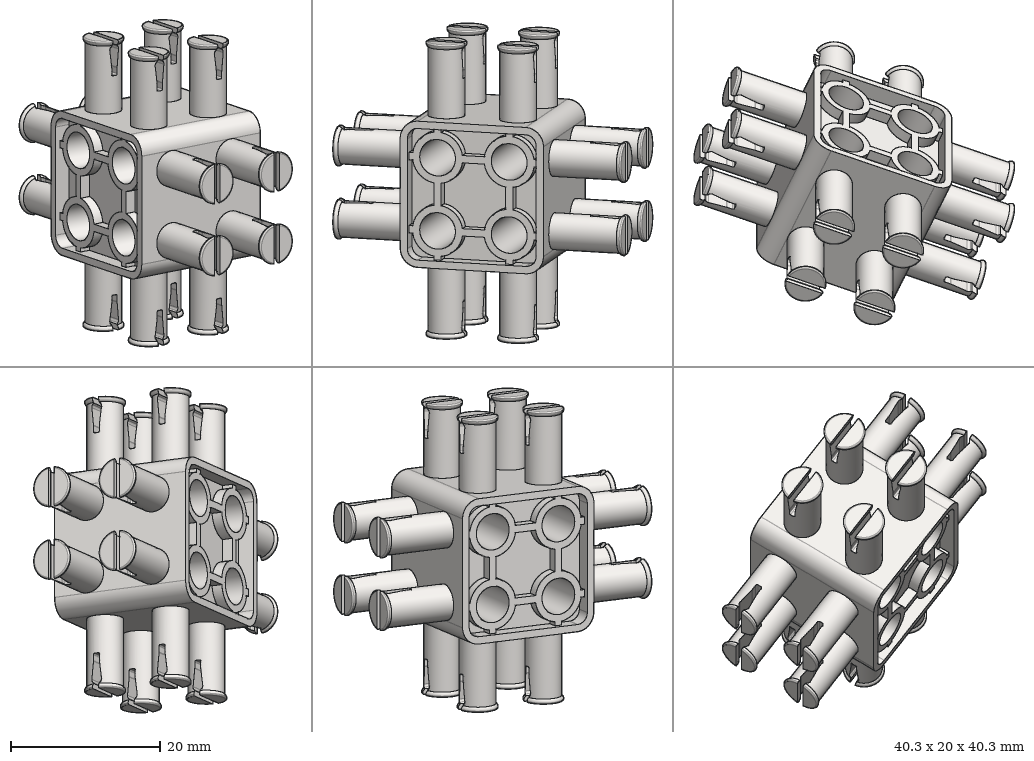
import cadquery as cq
import math

SPAN = 40.25
CUBE = 20.0
WALL = 1.0
CORNER_RADIUS = 2.5
HALF_SPAN = SPAN / 2
HALF_CUBE = CUBE / 2
OFFSET = CUBE / 4

BORE_DIAMETER = 5.0
BOSS_DIAMETER = 7.0
BOSS_RECESS = 0.75
FLOOR_DEPTH = 2.25

PIN_RADIUS = 4.95 / 2
PIN_ROOT = HALF_CUBE - WALL
COLLAR_RADIUS = 5.5 / 2
TIP_ROUND = 0.2
COLLAR_BACK_RADIUS = 0.55

SLOT_LENGTH = 4.9
SLOT_MOUTH = 0.9
SLOT_BELLY = 1.53
MOUTH_LENGTH = 0.75
BELLY_DEPTH = 1.13
TAPER_DEPTH = 3.85
SLOT_BEND_RADIUS = 1.0 / 2
SLOT_END_ROUND = 0.2

CENTRES = [(x, y) for x in (-OFFSET, OFFSET) for y in (-OFFSET, OFFSET)]


def rounded_block(side, radius, start, end):
    """Square block from Y = start to Y = end, with its edges along Y rounded."""
    block = cq.Workplane("XZ", origin=(0, end, 0)).rect(side, side).extrude(end - start)
    return block.edges("|Y").fillet(radius)


def make_body():
    body = rounded_block(CUBE, CORNER_RADIUS, -HALF_CUBE, HALF_CUBE)
    floor = FLOOR_DEPTH - HALF_CUBE
    pocket = rounded_block(CUBE - 2 * WALL, CORNER_RADIUS - WALL, -HALF_CUBE, floor)
    height = FLOOR_DEPTH - BOSS_RECESS
    face = cq.Workplane("XZ", origin=(0, floor, 0))
    raised = face.pushPoints(CENTRES).circle(BOSS_DIAMETER / 2).extrude(height)
    for offset in (-OFFSET, OFFSET):
        raised = raised.union(face.center(offset, 0).rect(WALL, CUBE).extrude(height))
        raised = raised.union(face.center(0, offset).rect(CUBE, WALL).extrude(height))
    recess = pocket.cut(raised)
    return body.cut(recess).cut(recess.mirror("XZ"))


def make_slot():
    """Cutter along X: narrow mouth, flare to the belly, taper to a narrow end with rounded corners."""
    half_mouth = SLOT_MOUTH / 2
    half_belly = SLOT_BELLY / 2
    bottom = HALF_SPAN - SLOT_LENGTH
    belly = HALF_SPAN - BELLY_DEPTH
    taper_end = HALF_SPAN - TAPER_DEPTH
    one_side = [
        (half_mouth, HALF_SPAN),
        (half_mouth, HALF_SPAN - MOUTH_LENGTH),
        (half_belly, belly),
        (half_mouth, taper_end),
        (half_mouth, bottom),
    ]
    other_side = [(-y, z) for y, z in reversed(one_side)]
    slot = cq.Workplane("YZ").polyline(one_side + other_side).close().extrude(COLLAR_RADIUS, both=True)
    bends = [(side * half_belly, belly) for side in (-1, 1)]
    bends += [(side * half_mouth, taper_end) for side in (-1, 1)]
    for y, z in bends:
        slot = slot.edges(cq.NearestToPointSelector((0, y, z))).fillet(SLOT_BEND_RADIUS)
    return slot.faces("<Z").edges("|X").fillet(SLOT_END_ROUND)


def make_pin():
    """One pin along +Z on the Z axis, with a rounded collar and a slot through its tip along X."""
    widest = HALF_SPAN - TIP_ROUND
    arc_centre = COLLAR_RADIUS - COLLAR_BACK_RADIUS
    back_angle = math.acos((PIN_RADIUS - arc_centre) / COLLAR_BACK_RADIUS)

    def back_point(angle):
        return (
            arc_centre + COLLAR_BACK_RADIUS * math.cos(angle),
            widest - COLLAR_BACK_RADIUS * math.sin(angle),
        )

    tip_middle = TIP_ROUND * (1 - math.sqrt(0.5))
    pin = (
        cq.Workplane("XZ")
        .moveTo(0, PIN_ROOT)
        .lineTo(PIN_RADIUS, PIN_ROOT)
        .lineTo(*back_point(back_angle))
        .threePointArc(back_point(back_angle / 2), (COLLAR_RADIUS, widest))
        .threePointArc(
            (COLLAR_RADIUS - tip_middle, HALF_SPAN - tip_middle),
            (COLLAR_RADIUS - TIP_ROUND, HALF_SPAN),
        )
        .lineTo(0, HALF_SPAN)
        .close()
        .revolve(360, (0, 0, 0), (0, 1, 0))
    )
    return pin.cut(make_slot())


def add_pins(body):
    pin = make_pin()
    for x, y in CENTRES:
        upright = pin.translate((x, y, 0))
        for angle in (0, 90, 180, 270):
            body = body.union(upright.rotate((0, 0, 0), (0, 1, 0), angle))
    return body


bores = cq.Workplane("XZ").pushPoints(CENTRES).circle(BORE_DIAMETER / 2).extrude(HALF_CUBE, both=True)
result = add_pins(make_body()).cut(bores)